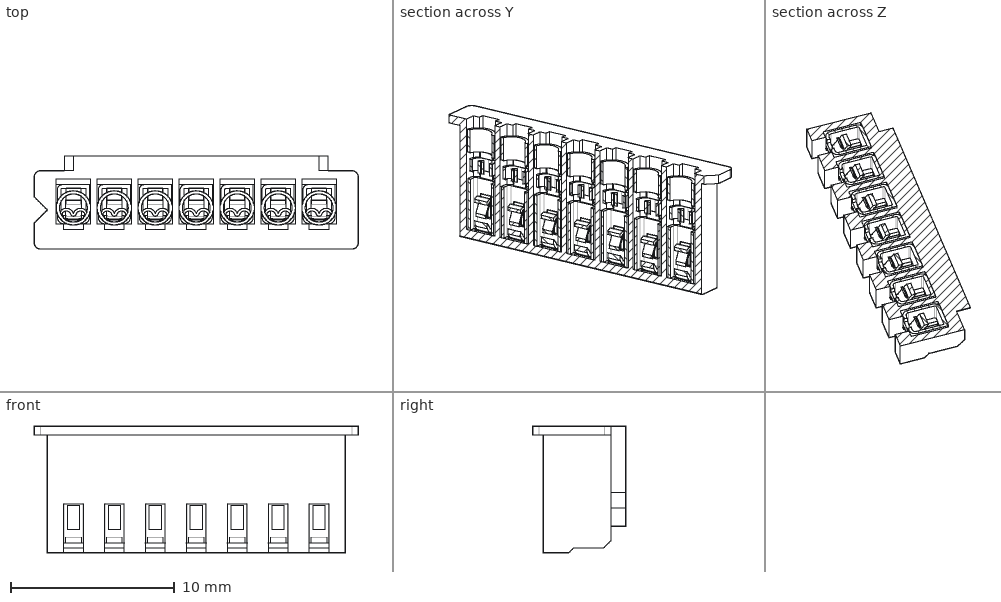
import cadquery as cq
import math

EPS = 0.5

contact_count = 7
pitch = 2.5
contact_xs = [(i - (contact_count - 1) / 2) * pitch for i in range(contact_count)]

flange_length = 19.8
flange_depth = 4.8
flange_thickness = 0.55
flange_corner_radius = 0.4
overall_height = 7.75
notch_depth = 0.8
body_length = 18.2
body_front = 0.65
back_edge = flange_depth

underside_step = 0.3
step_front = 2.2
back_chamfer = 0.47

rib_depth = 0.9
rib_back = back_edge + rib_depth
rib_half_length = 7.5
bump_half_length = 8.05
rib_bottom = 1.62
bump_slope_top = 2.76
bump_top = 3.7

cavity_width = 2.1
cavity_front = 1.55
cavity_back = 3.94
cavity_floor = 0.6
entry_back = 4.3
entry_floor = 4.0
channel_width = 1.2
channel_front = 1.2
slot_top = 3.0
sill_front = 1.75
sill_height = 0.29
pin_hole_size = 0.9
pin_hole_back = 3.72

sheet = 0.22
box_width = 1.96
box_front_radius = 0.4
box_back_radius = 0.3
box_top = 3.9
window_width = 0.74
window_bottom = 1.42
window_top = 2.9
tongue_angle = 27
tongue_sheet = sheet / 2
spring_width = 0.96
spring_bend_radius = 0.36
spring_rise_angle = 38
spring_tip_angle = 24
spring_apex_radius = 0.45
spring_apex_back = 3.0
spring_apex_height = 2.05
spring_tip_length = 0.8
barrel_outer_diameter = 2.1
barrel_inner_diameter = 1.7
barrel_center = 2.52
barrel_bottom = 5.6
barrel_top = 7.1
strip_width = 0.9
strip_thickness = 0.11
crimp_bottom = 4.4
crimp_top = 5.2
crimp_half_width = 0.86
crimp_sheet = 0.17
crimp_front = 1.5
crimp_shoulder = 2.2
crimp_peak = 2.5
crimp_valley = 2.18


def block(width, y_range, z_range):
    """Box centred on X = 0, between the given Y and Z limits."""
    (y0, y1), (z0, z1) = y_range, z_range
    return cq.Workplane("XY").box(width, y1 - y0, z1 - z0).translate((0, (y0 + y1) / 2, (z0 + z1) / 2))


def extrude_across(profile, width):
    """Extrude a sketch on the YZ plane symmetrically across X = 0."""
    return profile.extrude(width / 2, both=True)


def make_flange():
    flange = block(flange_length, (0, flange_depth), (overall_height - flange_thickness, overall_height))
    flange = flange.edges("|Z").fillet(flange_corner_radius)
    end = -flange_length / 2
    middle = flange_depth / 2
    notch = (
        cq.Workplane("XY")
        .polyline([(end, middle - notch_depth), (end + notch_depth, middle), (end, middle + notch_depth)])
        .close()
        .extrude(overall_height)
    )
    return flange.cut(notch)


def make_body():
    profile = (
        cq.Workplane("YZ")
        .moveTo(body_front, 0)
        .lineTo(step_front, 0)
        .lineTo(step_front + underside_step, underside_step)
        .lineTo(back_edge - back_chamfer, underside_step)
        .lineTo(back_edge, underside_step + back_chamfer)
        .lineTo(back_edge, overall_height - flange_thickness)
        .lineTo(body_front, overall_height - flange_thickness)
        .close()
    )
    return extrude_across(profile, body_length)


def make_rib():
    right_side = [
        (rib_half_length, rib_bottom),
        (bump_half_length, bump_slope_top),
        (bump_half_length, bump_top),
        (rib_half_length, bump_top),
        (rib_half_length, overall_height),
    ]
    left_side = [(-x, z) for x, z in reversed(right_side)]
    rib = cq.Workplane("XZ", origin=(0, rib_back, 0)).polyline(right_side + left_side).close()
    return rib.extrude(rib_depth)


def make_channel():
    """Lead-in groove in the front wall of the cavity, ending in a 45-degree ramp."""
    inner = cavity_front + EPS
    ramp_top = entry_floor + cavity_front - channel_front
    profile = (
        cq.Workplane("YZ")
        .moveTo(channel_front, overall_height + EPS)
        .lineTo(channel_front, ramp_top)
        .lineTo(cavity_front, entry_floor)
        .lineTo(inner, entry_floor)
        .lineTo(inner, overall_height + EPS)
        .close()
    )
    return extrude_across(profile, channel_width)


def make_front_slot():
    """Slot through the front wall, open below, ending at a sill with a 45-degree slope."""
    slope_back = sill_front + cavity_floor - sill_height
    profile = (
        cq.Workplane("YZ")
        .moveTo(body_front - EPS, -EPS)
        .lineTo(sill_front, -EPS)
        .lineTo(sill_front, sill_height)
        .lineTo(slope_back, cavity_floor)
        .lineTo(slope_back, slot_top)
        .lineTo(body_front - EPS, slot_top)
        .close()
    )
    return extrude_across(profile, channel_width)


def make_cavity():
    """Tool that clears everything one contact needs."""
    top = overall_height + EPS
    cavity = block(cavity_width, (cavity_front, cavity_back), (cavity_floor, top))
    cavity = cavity.union(block(cavity_width, (cavity_front, entry_back), (entry_floor, top)))
    cavity = cavity.union(make_channel()).union(make_front_slot())
    pin_hole_front = pin_hole_back - pin_hole_size
    pin_hole = block(pin_hole_size, (pin_hole_front, pin_hole_back), (-EPS, cavity_floor + EPS))
    return cavity.union(pin_hole)


def make_housing():
    housing = make_body().union(make_flange()).union(make_rib())
    cavity = make_cavity()
    for x in contact_xs:
        housing = housing.cut(cavity.translate((x, 0, 0)))
    return housing


def make_contact_box():
    """Rectangular sleeve that takes the mating pin, with a window in its front wall."""
    heights = (cavity_floor, box_top)
    box = block(box_width, (cavity_front, cavity_back), heights)
    box = box.edges("|Z and <Y").fillet(box_front_radius)
    box = box.edges("|Z and >Y and <X").fillet(box_back_radius)
    inside = block(box_width - 2 * sheet, (cavity_front + sheet, cavity_back - sheet), heights)
    inside = inside.edges("|Z and <Y").fillet(box_front_radius - sheet)
    inside = inside.edges("|Z and >Y and <X").fillet(box_back_radius - sheet)
    window = block(window_width, (cavity_front - EPS, cavity_front + EPS), (window_bottom, window_top))
    spring_opening = block(
        spring_width,
        (cavity_front - EPS, cavity_front + EPS),
        (cavity_floor, cavity_floor + spring_bend_radius),
    )
    return box.cut(inside).cut(window).cut(spring_opening)


def make_tongue():
    """Tongue that hangs from the top of the window and leans into the box."""
    lean = (window_top - window_bottom) * math.tan(math.radians(tongue_angle))
    thickness = tongue_sheet / math.cos(math.radians(tongue_angle))
    profile = (
        cq.Workplane("YZ")
        .moveTo(cavity_front, window_top)
        .lineTo(cavity_front + lean, window_bottom)
        .lineTo(cavity_front + lean + thickness, window_bottom)
        .lineTo(cavity_front + thickness, window_top)
        .close()
    )
    return extrude_across(profile, window_width)


def make_spring():
    """Strip that turns in under the front wall, rises to a rounded contact point and leans back."""
    half = sheet / 2
    bend = spring_bend_radius - half
    front = cavity_front + half
    bottom = cavity_floor + half
    bend_middle = (
        front + bend * (1 - math.cos(math.pi / 4)),
        bottom + bend * (1 - math.sin(math.pi / 4)),
    )
    rise = math.radians(spring_rise_angle)
    tip = math.radians(spring_tip_angle)
    apex_y = spring_apex_back - spring_apex_radius
    apex_z = spring_apex_height
    arc = spring_apex_radius - half
    arc_start = (apex_y + arc * math.cos(rise), apex_z - arc * math.sin(rise))
    arc_end = (apex_y + arc * math.sin(tip), apex_z + arc * math.cos(tip))
    rise_foot = arc_start[0] - (arc_start[1] - bottom) * math.tan(rise)
    path = (
        cq.Workplane("YZ")
        .moveTo(front, bottom + bend + half)
        .lineTo(front, bottom + bend)
        .threePointArc(bend_middle, (front + bend, bottom))
        .lineTo(rise_foot, bottom)
        .lineTo(*arc_start)
        .threePointArc((apex_y + arc, apex_z), arc_end)
        .lineTo(
            arc_end[0] - spring_tip_length * math.cos(tip),
            arc_end[1] + spring_tip_length * math.sin(tip),
        )
        .wire()
    )
    return extrude_across(path.offset2D(half), spring_width)


def make_barrel():
    """Round barrel that grips the wire insulation."""
    return (
        cq.Workplane("XY", origin=(0, barrel_center, barrel_bottom))
        .circle(barrel_outer_diameter / 2)
        .circle(barrel_inner_diameter / 2)
        .extrude(barrel_top - barrel_bottom)
    )


def crimp_outline():
    """Flat-bottomed outline with two rounded lobes that meet in a valley."""
    w = crimp_half_width
    bottom_radius = crimp_shoulder - crimp_front
    flat = w - bottom_radius
    arc = bottom_radius * math.sin(math.pi / 4)
    lobe = w / 2
    return (
        cq.Workplane("XY", origin=(0, 0, crimp_bottom))
        .moveTo(-flat, crimp_front)
        .lineTo(flat, crimp_front)
        .threePointArc((flat + arc, crimp_shoulder - arc), (w, crimp_shoulder))
        .threePointArc((lobe, crimp_peak), (0, crimp_valley))
        .threePointArc((-lobe, crimp_peak), (-w, crimp_shoulder))
        .threePointArc((-flat - arc, crimp_shoulder - arc), (-flat, crimp_front))
        .close()
    )


def make_crimp():
    """Crimp that grips the bare wire."""
    height = crimp_top - crimp_bottom
    outside = crimp_outline().extrude(height)
    inside = crimp_outline().offset2D(-crimp_sheet).extrude(height)
    return outside.cut(inside)


def make_strip():
    """Strip along the front that ties the box, the crimp and the barrel together."""
    return block(
        strip_width,
        (cavity_front, cavity_front + strip_thickness),
        (box_top - sheet, barrel_bottom + sheet),
    )


def make_contact():
    contact = make_contact_box()
    for piece in (make_spring(), make_tongue(), make_strip(), make_crimp(), make_barrel()):
        contact = contact.union(piece)
    return contact


housing = make_housing()
contact = make_contact()
contacts = [contact.translate((x, 0, 0)) for x in contact_xs]

result = cq.Compound.makeCompound([housing.val(), *[c.val() for c in contacts]])